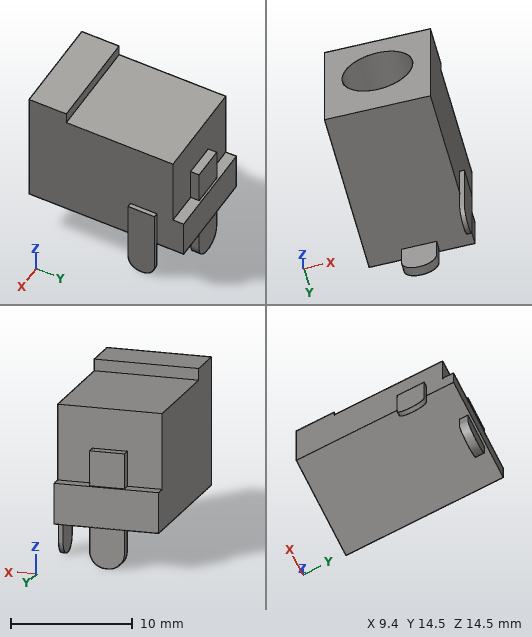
import cadquery as cq

housing_width = 9.0
flange_depth = 3.5
flange_height = 11.0
body_depth = 10.0
body_height = 10.0
ledge_depth = 1.0
ledge_height = 3.5

socket_diameter = 6.0
socket_axis_height = 6.0
socket_depth = flange_depth

tab_drop = 3.5
rear_tab_width = 3.0
rear_tab_thickness = 0.8
rear_tab_top = 6.5
rear_tab_corner_radius = 1.4
side_tab_width = 2.5
side_tab_thickness = 0.4
side_tab_top = 3.5
side_tab_corner_radius = 1.2
side_tab_front = 9.5

body_back = flange_depth + body_depth


def block(width, depth, height, front):
    """Box centred on X that stands on the seating plane, starting at Y = front."""
    return (
        cq.Workplane("XY")
        .box(width, depth, height, centered=(True, False, False))
        .translate((0, front, 0))
    )


def make_housing():
    flange = block(housing_width, flange_depth, flange_height, 0)
    body = block(housing_width, body_depth, body_height, flange_depth)
    ledge = block(housing_width, ledge_depth, ledge_height, body_back)
    return flange.union(body).union(ledge)


def make_socket():
    return (
        cq.Workplane("XZ")
        .center(0, socket_axis_height)
        .circle(socket_diameter / 2)
        .extrude(-socket_depth)
    )


def make_rear_tab():
    """Flat tab against the back of the body, with rounded lower corners."""
    tab = block(rear_tab_width, rear_tab_thickness, rear_tab_top + tab_drop, body_back)
    tab = tab.edges("|Y and <Z").fillet(rear_tab_corner_radius)
    return tab.translate((0, 0, -tab_drop))


def make_side_tab():
    """Flat tab against the +X wall, with rounded lower corners."""
    tab = block(side_tab_thickness, side_tab_width, side_tab_top + tab_drop, side_tab_front)
    tab = tab.edges("|X and <Z").fillet(side_tab_corner_radius)
    return tab.translate(((housing_width + side_tab_thickness) / 2, 0, -tab_drop))


result = make_housing().cut(make_socket()).union(make_rear_tab()).union(make_side_tab())